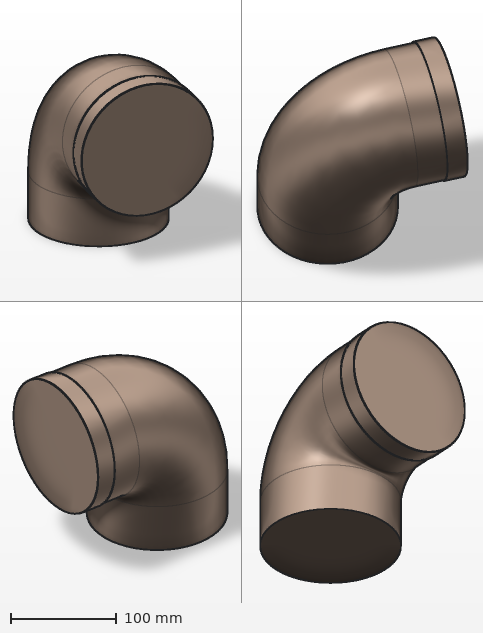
import cadquery as cq

pipe_diameter = 133.2
collar_diameter = 135.0
bend_radius = 70.0
leg_length = 49.0
collar_length = 20.0
rim_chamfer = 0.5

bend_height = leg_length + bend_radius
collar_start = bend_radius + leg_length - collar_length

centre_line = (
    cq.Workplane("XZ")
    .lineTo(0, leg_length)
    .tangentArcPoint((bend_radius, bend_height), relative=False)
    .lineTo(collar_start, bend_height)
)
pipe = cq.Workplane("XY").circle(pipe_diameter / 2).sweep(centre_line)

collar = (
    cq.Workplane("YZ", origin=(collar_start, 0, bend_height))
    .circle(collar_diameter / 2)
    .extrude(collar_length)
    .faces(">X")
    .chamfer(rim_chamfer)
)

result = pipe.union(collar)